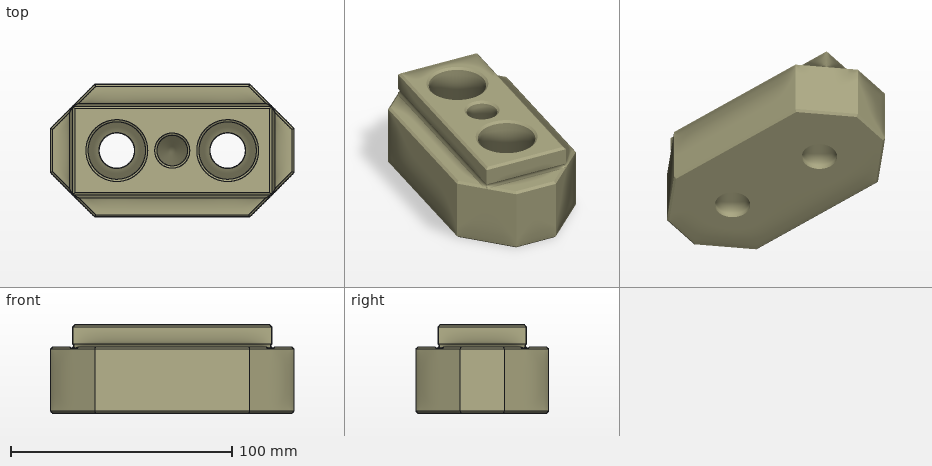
import cadquery as cq
import math

base_length = 110.0
base_width = 60.0
total_height = 40.0
step_height = 10.0
base_height = total_height - step_height
corner_cut = 20.0
edge_chamfer = 1.0

raised_length = base_length - corner_cut
raised_width = base_width - corner_cut

relief_radius = 1.0
relief_offset = 0.5

screw_spacing = 50.0
screw_hole_diameter = 16.0
counterbore_diameter = 26.0
counterbore_depth = 24.0
centre_hole_diameter = 13.9
centre_hole_depth = 25.0
drill_point_angle = 118.0


def make_base():
    return (
        cq.Workplane("XY")
        .box(base_length, base_width, base_height, centered=(True, True, False))
        .edges("|Z")
        .chamfer(corner_cut)
        .faces("<Z or >Z")
        .edges()
        .chamfer(edge_chamfer)
    )


def make_raised_block():
    return (
        cq.Workplane("XY", origin=(0, 0, base_height - edge_chamfer))
        .box(raised_length, raised_width, step_height + edge_chamfer, centered=(True, True, False))
        .faces(">Z")
        .edges()
        .chamfer(edge_chamfer)
    )


def cut_relief(body):
    groove_height = base_height + relief_offset
    x_axis = raised_length / 2 + relief_offset
    y_axis = raised_width / 2 + relief_offset
    for side in (-1, 1):
        along_x = (
            cq.Workplane("YZ")
            .center(side * y_axis, groove_height)
            .circle(relief_radius)
            .extrude(x_axis, both=True)
        )
        along_y = (
            cq.Workplane("XZ")
            .center(side * x_axis, groove_height)
            .circle(relief_radius)
            .extrude(y_axis, both=True)
        )
        body = body.cut(along_x).cut(along_y)
    return body


def mouth_chamfer(diameter):
    """Cone that widens the mouth of a hole in the top face."""
    radius = diameter / 2
    return (
        cq.Workplane("XZ")
        .polyline([
            (0, total_height),
            (radius + edge_chamfer, total_height),
            (radius, total_height - edge_chamfer),
            (0, total_height - edge_chamfer),
        ])
        .close()
        .revolve(360, (0, 0), (0, 1))
    )


def screw_hole():
    through = cq.Workplane("XY").circle(screw_hole_diameter / 2).extrude(total_height)
    counterbore = (
        cq.Workplane("XY", origin=(0, 0, total_height))
        .circle(counterbore_diameter / 2)
        .extrude(-counterbore_depth)
    )
    return through.union(counterbore).union(mouth_chamfer(counterbore_diameter))


def centre_hole():
    radius = centre_hole_diameter / 2
    floor = total_height - centre_hole_depth
    point_height = radius / math.tan(math.radians(drill_point_angle / 2))
    drilled = (
        cq.Workplane("XZ")
        .polyline([
            (0, total_height),
            (radius, total_height),
            (radius, floor),
            (0, floor - point_height),
        ])
        .close()
        .revolve(360, (0, 0), (0, 1))
    )
    return drilled.union(mouth_chamfer(centre_hole_diameter))


body = cut_relief(make_base().union(make_raised_block()))
for side in (-1, 1):
    body = body.cut(screw_hole().translate((side * screw_spacing / 2, 0, 0)))
result = body.cut(centre_hole())